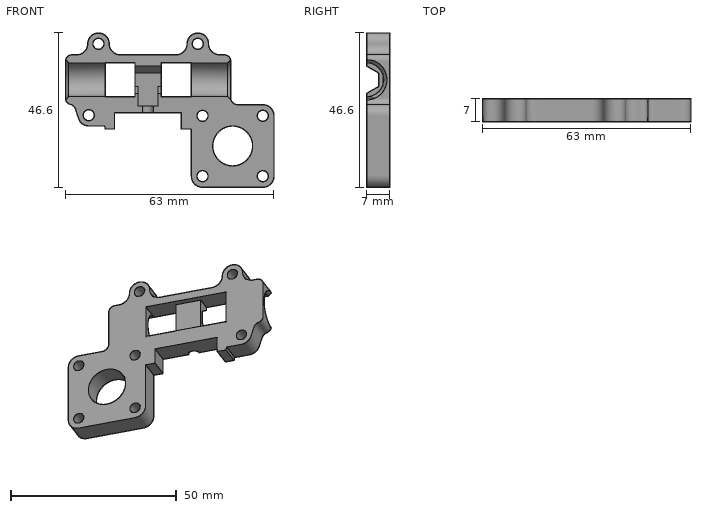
import cadquery as cq
import math

thickness = 7.0
overall_length = 63.0
overall_height = 46.6
through = 3 * thickness

screw_diameter = 3.3
lug_radius = 3.3
lug_spacing = 30.0

rail_length = 49.95
rail_middle = rail_length / 2
corner_radius = 2.0
lug_z = overall_height - lug_radius
rail_top = lug_z - lug_radius
bore_z = 32.5
rail_bottom = 2 * bore_z - rail_top
lug_xs = [rail_middle - lug_spacing / 2, rail_middle + lug_spacing / 2]

bore_radius = 5.1
bore_chamfer = 1.0
seat_length = 12.05
block_width = 8.0
block_depth = 5.0

groove_depth = 3.6
groove_floor_half = 2.0
groove_mouth_half = 4.1
pocket_width = 6.05
pocket_floor = 24.65

flange_size = 25.0
flange_left = overall_length - flange_size
flange_middle_x = overall_length - flange_size / 2
flange_middle_z = flange_size / 2
flange_screw_pitch = 18.2
flange_corner_radius = (flange_size - flange_screw_pitch) / 2
flange_bore_diameter = 12.0

low_lug_x = 7.05
low_lug_z = 21.8
low_lug_slant = math.radians(18)
foot_left = 11.85
foot_right = 14.85
foot_bottom = 17.6
foot_slant = 0.2
underside_z = 22.5
step_left = 34.95


def polar(center, radius, angle):
    """Point at a radius and angle (radians) around a center."""
    return (center[0] + radius * math.cos(angle), center[1] + radius * math.sin(angle))


def arc_to(path, center, radius, start, end):
    """Add a circular arc given by its center and its end angles in degrees."""
    middle = polar(center, radius, math.radians((start + end) / 2))
    return path.threePointArc(middle, polar(center, radius, math.radians(end)))


def add_upper_lug(path, x):
    """Round lug above the rail, blended into it by an arc on each side."""
    blend_offset = 2 * lug_radius
    path = path.lineTo(x - blend_offset, rail_top)
    path = arc_to(path, (x - blend_offset, lug_z), lug_radius, -90, 0)
    path = arc_to(path, (x, lug_z), lug_radius, 180, 0)
    return arc_to(path, (x + blend_offset, lug_z), lug_radius, 180, 270)


def make_plate():
    lug_center = (low_lug_x, low_lug_z)
    corner_center = (corner_radius, rail_bottom + corner_radius)
    slant_normal = math.pi + low_lug_slant
    foot_of_offset = polar(lug_center, lug_radius + corner_radius, slant_normal)
    along = (-math.sin(low_lug_slant), math.cos(low_lug_slant))
    gap_x = foot_of_offset[0] - corner_center[0]
    gap_z = foot_of_offset[1] - corner_center[1]
    projection = gap_x * along[0] + gap_z * along[1]
    gap_squared = gap_x**2 + gap_z**2 - (2 * corner_radius) ** 2
    travel = -projection - math.sqrt(projection**2 - gap_squared)
    blend_center = (foot_of_offset[0] + travel * along[0], foot_of_offset[1] + travel * along[1])
    slant_degrees = math.degrees(low_lug_slant)
    meeting_degrees = math.degrees(
        math.atan2(corner_center[1] - blend_center[1], corner_center[0] - blend_center[0])
    )

    upper_corner_z = rail_top - corner_radius
    path = cq.Workplane("XZ").moveTo(0, upper_corner_z)
    path = arc_to(path, (corner_radius, upper_corner_z), corner_radius, 180, 90)
    for x in lug_xs:
        path = add_upper_lug(path, x)
    path = path.lineTo(rail_length - corner_radius, rail_top)
    path = arc_to(path, (rail_length - corner_radius, upper_corner_z), corner_radius, 90, 0)

    path = path.lineTo(rail_length, flange_size + corner_radius)
    end_blend_center = (rail_length + corner_radius, flange_size + corner_radius)
    path = arc_to(path, end_blend_center, corner_radius, 180, 270)
    near = flange_corner_radius
    far_x = overall_length - near
    path = path.lineTo(far_x, flange_size)
    path = arc_to(path, (far_x, flange_size - near), near, 90, 0)
    path = path.lineTo(overall_length, near)
    path = arc_to(path, (far_x, near), near, 0, -90)
    path = path.lineTo(flange_left + near, 0)
    path = arc_to(path, (flange_left + near, near), near, -90, -180)

    path = path.lineTo(flange_left, foot_bottom).lineTo(step_left, foot_bottom)
    path = path.lineTo(step_left, underside_z).lineTo(foot_right, underside_z)
    path = path.lineTo(foot_right, foot_bottom).lineTo(foot_left + foot_slant, foot_bottom)

    path = path.lineTo(foot_left, low_lug_z - lug_radius)
    path = path.lineTo(low_lug_x, low_lug_z - lug_radius)
    path = arc_to(path, lug_center, lug_radius, -90, -180 + slant_degrees)
    path = path.lineTo(*polar(blend_center, corner_radius, low_lug_slant))
    path = arc_to(path, blend_center, corner_radius, slant_degrees, meeting_degrees)
    path = arc_to(path, corner_center, corner_radius, meeting_degrees - 180, -180)
    return path.close().extrude(-thickness)


def box(x_start, x_end, depth, z_start, z_end):
    """Block reaching back from the front face."""
    size = (x_end - x_start, depth, z_end - z_start)
    return cq.Workplane("XY").box(*size, centered=False).translate((x_start, 0, z_start))


def drill(points, diameter):
    """Round cutters running front to back through the plate."""
    cutter = cq.Workplane("XZ").workplane(offset=-through / 2)
    return cutter.pushPoints(points).circle(diameter / 2).extrude(through)


def bearing_seat_cutter():
    """Bore along the rail, flared at both rail ends."""
    mouth_radius = bore_radius + bore_chamfer
    profile = [
        (0, 0),
        (0, mouth_radius),
        (bore_chamfer, bore_radius),
        (rail_length - bore_chamfer, bore_radius),
        (rail_length, mouth_radius),
        (rail_length, 0),
    ]
    cutter = cq.Workplane("XY").polyline(profile).close().revolve(360, (0, 0, 0), (1, 0, 0))
    return cutter.translate((0, 0, bore_z))


def middle_block():
    """Block between the windows, set forward of the back face, with a trapezoid groove across its front."""
    left = rail_middle - block_width / 2
    right = rail_middle + block_width / 2
    block = box(left, right, block_depth, bore_z - bore_radius, bore_z + bore_radius)
    groove_profile = [
        (0, bore_z - groove_mouth_half),
        (groove_depth, bore_z - groove_floor_half),
        (groove_depth, bore_z + groove_floor_half),
        (0, bore_z + groove_mouth_half),
    ]
    groove = cq.Workplane("YZ").polyline(groove_profile).close().extrude(block_width)
    return block.cut(groove.translate((left, 0, 0)))


plate = make_plate()

plate = plate.cut(bearing_seat_cutter())
window_right = rail_length - seat_length
plate = plate.cut(
    box(seat_length, window_right, thickness, bore_z - bore_radius, bore_z + bore_radius)
)
plate = plate.union(middle_block())

pocket_left = rail_middle - pocket_width / 2
pocket_right = rail_middle + pocket_width / 2
plate = plate.cut(box(pocket_left, pocket_right, groove_depth, pocket_floor, bore_z))
channel = cq.Workplane("XY").workplane(offset=underside_z).center(rail_middle, 0)
plate = plate.cut(channel.circle(screw_diameter / 2).extrude(pocket_floor - underside_z))

half_pitch = flange_screw_pitch / 2
screw_points = [(x, lug_z) for x in lug_xs] + [(low_lug_x, low_lug_z)]
for side_x in (-1, 1):
    for side_z in (-1, 1):
        screw_points.append((flange_middle_x + side_x * half_pitch, flange_middle_z + side_z * half_pitch))
plate = plate.cut(drill(screw_points, screw_diameter))
result = plate.cut(drill([(flange_middle_x, flange_middle_z)], flange_bore_diameter))